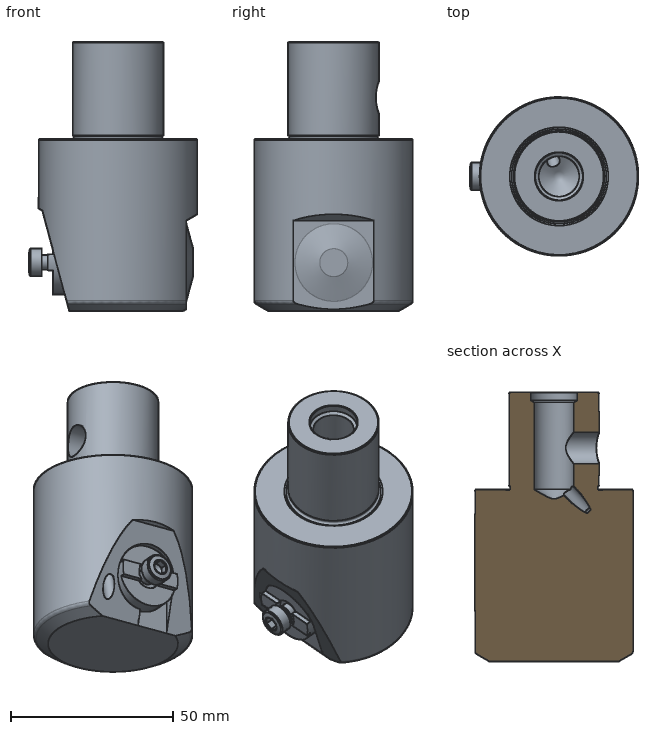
import cadquery as cq
import math

total_height = 83.0
body_radius = 24.5
body_height = 53.0
bottom_chamfer_height = 2.6
bottom_chamfer_angle = 30.0
bottom_fillet = 1.5
edge_chamfer = 0.3

shank_radius = 14.0
neck_radius = 13.7
neck_height = 1.2
groove_depth = 0.25
groove_outer_radius = 15.2
groove_floor_radius = 14.6
groove_fillet = 0.7

bore_radius = 6.2
bore_depth = total_height - body_height
counterbore_radius = 7.3
counterbore_depth = 2.5
bore_mouth_chamfer = 0.21
drill_point_angle = 118.0

clamp_hole_radius = 5.1
clamp_hole_z = 65.8

slant_angle = 15.0
slant_bottom_x = -15.0
slant_top_z = 31.0
flat_x = 21.1
flat_top_z = 27.9
runout_angle = 30.0

dial_base_radius = 11.95
dial_top_radius = 4.3
dial_height = 2.1

tool_axis_z = 15.0
pocket_radius = 10.05
cartridge_clearance = 0.1
cartridge_face_x = -20.1
tongue_width = 5.0
tongue_height = 1.6
screw_recess_radius = 4.1
screw_recess_depth = 0.8
notch_edge_y = 0.3

screw_end_x = -27.55
screw_head_radius = 4.3
screw_head_length = 4.15
screw_neck_radius = 2.3
screw_neck_length = 1.8
screw_shank_radius = 2.6
screw_crown_radius = 3.9
screw_crown_height = 0.3
screw_edge_chamfer = 0.37
socket_width = 4.0
socket_depth = 2.5
socket_mouth_radius = 2.4

channel_radius = 2.0
face_channel_y = 12.5
face_channel_z = 9.2
face_channel_length = 24.9
bore_channel_x = -1.75
bore_channel_y = 4.8
bore_channel_heading = 106.0
bore_channel_dip = 45.0
bore_channel_length = 8.3

clearance = 66.4


def sin(degrees):
    return math.sin(math.radians(degrees))


def cos(degrees):
    return math.cos(math.radians(degrees))


def tan(degrees):
    return math.tan(math.radians(degrees))


def cylinder(start, direction, radius, length):
    return cq.Workplane(cq.Solid.makeCylinder(radius, length, cq.Vector(*start), cq.Vector(*direction)))


def tool_cylinder(start_x, end_x, radius):
    """Cylinder on the tool axis between two X positions."""
    return cylinder((start_x, 0, tool_axis_z), (1, 0, 0), radius, end_x - start_x)


def revolve_about_z(profile):
    """Turn (radius, height) points about the housing axis."""
    return cq.Workplane("XZ").polyline(profile).close().revolve(360, (0, 0), (0, 1))


def revolve_about_tool_axis(profile):
    """Turn (X, radius) points about the tool axis."""
    turned = cq.Workplane("XY").polyline(profile).close().revolve(360, (0, 0), (1, 0))
    return turned.translate((0, 0, tool_axis_z))


def point_depth(radius):
    """Depth of a drill point of the given radius."""
    return radius / tan(drill_point_angle / 2)


def turned_housing():
    bottom_radius = body_radius - bottom_chamfer_height / tan(bottom_chamfer_angle)
    neck_step = shank_radius - neck_radius
    groove_z = body_height - groove_depth
    below_groove_fillet = [
        (0, 0),
        (bottom_radius, 0),
        (body_radius, bottom_chamfer_height),
        (body_radius, body_height - edge_chamfer),
        (body_radius - edge_chamfer, body_height),
        (groove_outer_radius, body_height),
        (groove_floor_radius, groove_z),
        (neck_radius + groove_fillet, groove_z),
    ]
    above_groove_fillet = [
        (neck_radius, body_height + neck_height - neck_step),
        (shank_radius, body_height + neck_height),
        (shank_radius, total_height - edge_chamfer),
        (shank_radius - edge_chamfer, total_height),
        (0, total_height),
    ]
    profile = cq.Workplane("XZ").polyline(below_groove_fillet)
    profile = profile.tangentArcPoint((neck_radius, groove_z + groove_fillet), relative=False)
    profile = profile.polyline(above_groove_fillet, includeCurrent=True).close()
    housing = profile.revolve(360, (0, 0), (0, 1))
    bottom_rim = cq.selectors.NearestToPointSelector((0, 0, bottom_chamfer_height))
    return housing.edges(bottom_rim).fillet(bottom_fillet)


def central_bore():
    bore_bottom_z = total_height - bore_depth
    counterbore_z = total_height - counterbore_depth
    ledge_drop = point_depth(counterbore_radius) - point_depth(bore_radius)
    profile = [
        (0, bore_bottom_z - point_depth(bore_radius)),
        (bore_radius, bore_bottom_z),
        (bore_radius, counterbore_z - ledge_drop),
        (counterbore_radius, counterbore_z),
        (counterbore_radius, total_height - bore_mouth_chamfer),
        (counterbore_radius + bore_mouth_chamfer, total_height),
        (0, total_height),
    ]
    return revolve_about_z(profile)


def slant_cut():
    """Wedge that leaves a slanted face and its short run-out on the -X side."""
    slant_top_x = slant_bottom_x - slant_top_z * tan(slant_angle)
    runout_rise = (clearance + slant_top_x) * tan(runout_angle)
    outline = [
        (slant_bottom_x, 0),
        (slant_top_x, slant_top_z),
        (-clearance, slant_top_z + runout_rise),
        (-clearance, 0),
    ]
    return cq.Workplane("XZ").polyline(outline).close().extrude(clearance / 2, both=True)


def flat_cut():
    """Block that leaves a vertical flat and its run-out on the +X side."""
    runout_rise = (clearance - flat_x) * tan(runout_angle)
    outline = [
        (flat_x, 0),
        (flat_x, flat_top_z),
        (clearance, flat_top_z + runout_rise),
        (clearance, 0),
    ]
    return cq.Workplane("XZ").polyline(outline).close().extrude(clearance / 2, both=True)


def dial():
    """Shallow conical boss on the flat."""
    profile = [
        (flat_x, 0),
        (flat_x, dial_base_radius),
        (flat_x + dial_height, dial_top_radius),
        (flat_x + dial_height, 0),
    ]
    return revolve_about_tool_axis(profile)


def notch_cut():
    """Vertical step below the cartridge, flush with the bottom edge of the slanted face."""
    width = notch_edge_y + pocket_radius
    notch = cq.Workplane("XY").box(clearance, width, tool_axis_z, centered=False)
    return notch.translate((slant_bottom_x - clearance, -pocket_radius, 0))


def face_channel():
    """Steep channel that rises into the body from the slanted face."""
    direction = cq.Vector(sin(slant_angle), 0, cos(slant_angle))
    mouth_x = slant_bottom_x - face_channel_z * tan(slant_angle)
    mouth = cq.Vector(mouth_x, face_channel_y, face_channel_z)
    lead_in = 4 * channel_radius
    start = mouth - direction * lead_in
    return cylinder(start.toTuple(), direction.toTuple(), channel_radius, lead_in + face_channel_length)


def bore_channel():
    """Channel that leaves the drill point of the bore, outward and down."""
    run = cos(bore_channel_dip)
    direction = (run * cos(bore_channel_heading), run * sin(bore_channel_heading), -sin(bore_channel_dip))
    cone_z = total_height - bore_depth - point_depth(bore_radius)
    mouth_z = cone_z + point_depth(math.hypot(bore_channel_x, bore_channel_y))
    mouth = cq.Vector(bore_channel_x, bore_channel_y, mouth_z)
    start = mouth - cq.Vector(*direction) * channel_radius
    return cylinder(start.toTuple(), direction, channel_radius, channel_radius + bore_channel_length)


def make_housing():
    clamp_hole = cylinder((0, 0, clamp_hole_z), (0, 1, 0), clamp_hole_radius, body_radius)
    housing = turned_housing().cut(slant_cut()).cut(flat_cut()).union(dial())
    housing = housing.cut(central_bore()).cut(clamp_hole)
    housing = housing.cut(face_channel()).cut(bore_channel()).cut(notch_cut())
    return housing.cut(tool_cylinder(-clearance, slant_bottom_x, pocket_radius))


def make_cartridge():
    """Disc with a tongue across its face, bored for the clamp screw."""
    cartridge_radius = pocket_radius - cartridge_clearance
    tongue_face_x = cartridge_face_x - tongue_height
    disc = tool_cylinder(tongue_face_x, slant_bottom_x, cartridge_radius)
    above_tongue_z = tongue_width / 2 + cartridge_radius
    for side in (-1, 1):
        step = cq.Workplane("XY").box(2 * tongue_height, 2 * cartridge_radius, 2 * cartridge_radius)
        disc = disc.cut(step.translate((tongue_face_x, 0, tool_axis_z + side * above_tongue_z)))
    recess = tool_cylinder(tongue_face_x, cartridge_face_x + screw_recess_depth, screw_recess_radius)
    screw_hole = tool_cylinder(tongue_face_x, slant_bottom_x, screw_shank_radius)
    return disc.cut(recess).cut(screw_hole)


def make_screw():
    """Socket screw whose necked shank fills the hole of the cartridge."""
    crown_x = screw_end_x + screw_crown_height
    head_back_x = screw_end_x + screw_head_length
    neck_end_x = head_back_x + screw_neck_length
    shank_step = screw_shank_radius - screw_neck_radius
    profile = [
        (screw_end_x, 0),
        (screw_end_x, socket_mouth_radius),
        (crown_x, screw_crown_radius),
        (crown_x + screw_edge_chamfer, screw_head_radius),
        (head_back_x, screw_head_radius),
        (head_back_x, screw_neck_radius),
        (neck_end_x, screw_neck_radius),
        (neck_end_x + shank_step, screw_shank_radius),
        (slant_bottom_x, screw_shank_radius),
        (slant_bottom_x, 0),
    ]
    return revolve_about_tool_axis(profile).cut(screw_socket())


def screw_socket():
    """Hexagonal socket with a conical mouth and a drill point below it."""
    corner_radius = socket_width / 2 / cos(30)
    floor_x = screw_end_x + socket_depth
    origin = (screw_end_x, 0, tool_axis_z)
    hexagon = cq.Workplane("YZ", origin=origin).polygon(6, 2 * corner_radius).extrude(socket_depth)
    hexagon = hexagon.rotate(origin, (floor_x, 0, tool_axis_z), 30)
    drill_radius = socket_width / 2
    drill_point = revolve_about_tool_axis(
        [(floor_x, 0), (floor_x, drill_radius), (floor_x + point_depth(drill_radius), 0)]
    )
    mouth = revolve_about_tool_axis(
        [(screw_end_x, 0), (screw_end_x, socket_mouth_radius), (screw_end_x + socket_mouth_radius / 2, 0)]
    )
    return hexagon.union(drill_point).union(mouth)


housing = make_housing()
cartridge = make_cartridge()
screw = make_screw()
result = cq.Compound.makeCompound([housing.val(), cartridge.val(), screw.val()])